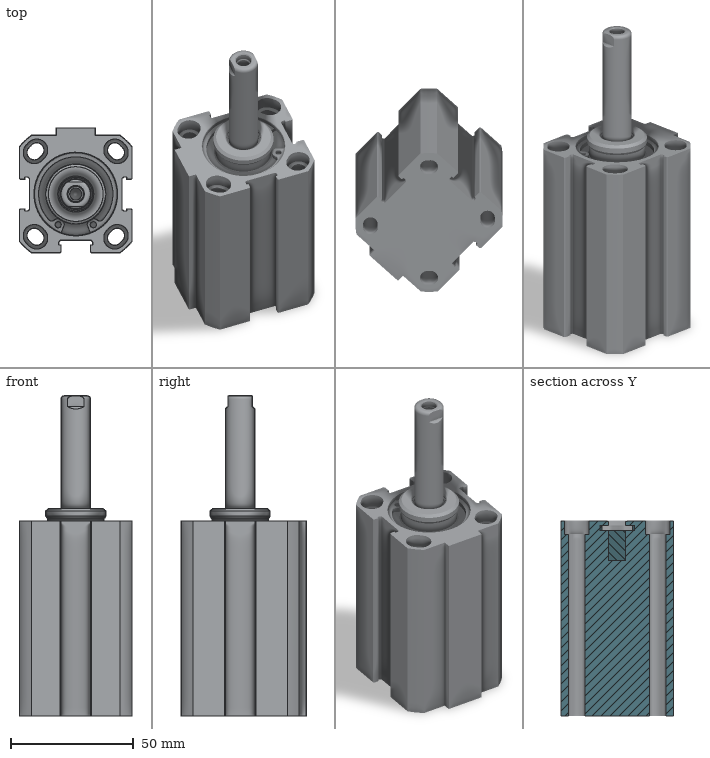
import cadquery as cq
import math


body_width = 46.0
body_depth = 48.0
body_height = 79.5
corner_radius = 30.0
rib_width = 16.0
rib_height = 3.0

slot_mouth_width = 12.0
slot_mouth_bevel = 0.4
slot_wide_width = 13.7
slot_floor_width = 12.8
slot_lip_distance = 20.75
slot_wide_distance = 19.6
slot_floor_distance = 18.9

mount_spacing_x = 32.8
mount_spacing_y = 34.8
mount_hole_width = 5.9
mount_sink_width = 9.0
mount_oval_stretch = 1.4
mount_sink_depth = 5.5

bore_diameter = 33.7
bore_rim_diameter = 34.1
bore_depth = 16.0

ring_outer_diameter = 35.8
ring_inner_diameter = 30.3
ring_thickness = 1.8
ring_depth = 2.0
lug_radius = 2.5
lug_hole_diameter = 2.5
lug_spacing = 14.3
lug_drop = 12.5
ring_gap_half_angle = 20.5
lug_blend_radius = 1.5

neck_diameter = 23.0
collar_diameter = 24.5
collar_top_diameter = 22.3
collar_height = 5.0
collar_top_bevel = 1.0
collar_straight_bottom = 1.9
neck_top = 0.8
neck_foot_bevel = 0.5
wiper_diameter = 13.7
wiper_rim_diameter = 14.7
wiper_depth = 1.0
relief_diameter = 12.54
relief_depth = 2.0

rod_diameter = 12.0
rod_projection = 51.0
rod_end_radius = 1.4
flat_spacing = 10.0
flat_length = 4.4
thread_hole_diameter = 4.92
thread_sink_diameter = 6.25
thread_mouth_diameter = 7.0
thread_sink_depth = 2.7
thread_hole_depth = 12.0
drill_point_angle = 118.0

bore_floor = body_height - bore_depth
ring_top = body_height - ring_depth
ring_bottom = ring_top - ring_thickness
rod_top = body_height + rod_projection
rod_radius = rod_diameter / 2


def cylinder(diameter, bottom, top):
    return cq.Workplane("XY").workplane(offset=bottom).circle(diameter / 2).extrude(top - bottom)


def turned(points):
    """Solid of revolution about Z from (radius, height) points."""
    return cq.Workplane("XZ").polyline(points).close().revolve(360, (0, 0, 0), (0, 1, 0))


def sensor_slot(wall_distance, turn):
    """Undercut slot along Z, open through the -Y wall and then turned about Z."""
    slot_reach = body_depth
    right = [
        (slot_mouth_width / 2 + slot_mouth_bevel, -slot_reach),
        (slot_mouth_width / 2 + slot_mouth_bevel, -wall_distance),
        (slot_mouth_width / 2, slot_mouth_bevel - wall_distance),
        (slot_mouth_width / 2, -slot_lip_distance),
        (slot_wide_width / 2, -slot_lip_distance),
        (slot_wide_width / 2, -slot_wide_distance),
        (slot_floor_width / 2, -slot_floor_distance),
    ]
    left = [(-x, y) for x, y in reversed(right)]
    slot = cq.Workplane("XY").polyline(right + left).close().extrude(body_height)
    return slot.rotate((0, 0, 0), (0, 0, 1), turn)


def mount_oval(x, y, width, bottom):
    """Oval hole from the given height up through the top, its long side facing the rod axis."""
    long_side_angle = -45 if x * y > 0 else 45
    return (
        cq.Workplane("XY")
        .workplane(offset=bottom)
        .center(x, y)
        .slot2D(width + mount_oval_stretch, width, long_side_angle)
        .extrude(body_height - bottom)
    )


def make_housing():
    body = cq.Workplane("XY").rect(body_width, body_depth).extrude(body_height)
    body = body.intersect(cylinder(2 * corner_radius, 0, body_height))

    rib_overlap = 1.0
    rib = (
        cq.Workplane("XY")
        .center(0, body_depth / 2 + (rib_height - rib_overlap) / 2)
        .rect(rib_width, rib_height + rib_overlap)
        .extrude(body_height)
    )
    body = body.union(rib)

    for wall_distance, turn in ((body_depth / 2, 0), (body_width / 2, 90), (body_width / 2, -90)):
        body = body.cut(sensor_slot(wall_distance, turn))

    for x in (-mount_spacing_x / 2, mount_spacing_x / 2):
        for y in (-mount_spacing_y / 2, mount_spacing_y / 2):
            body = body.cut(mount_oval(x, y, mount_hole_width, 0))
            body = body.cut(mount_oval(x, y, mount_sink_width, body_height - mount_sink_depth))

    rim_bevel = (bore_rim_diameter - bore_diameter) / 2
    bore = turned([
        (0, bore_floor),
        (bore_diameter / 2, bore_floor),
        (bore_diameter / 2, body_height - rim_bevel),
        (bore_rim_diameter / 2, body_height),
        (0, body_height),
    ])
    ring_groove = cylinder(ring_outer_diameter, ring_bottom, ring_top)
    return body.cut(bore).cut(ring_groove)


def make_cover():
    outside = turned([
        (0, bore_floor),
        (bore_diameter / 2, bore_floor),
        (bore_diameter / 2, ring_bottom),
        (neck_diameter / 2 + neck_foot_bevel, ring_bottom),
        (neck_diameter / 2, ring_bottom + neck_foot_bevel),
        (neck_diameter / 2, body_height + neck_top),
        (collar_diameter / 2, body_height + collar_straight_bottom),
        (collar_diameter / 2, body_height + collar_height - collar_top_bevel),
        (collar_top_diameter / 2, body_height + collar_height),
        (0, body_height + collar_height),
    ])
    top = body_height + collar_height
    rim_bevel = (wiper_rim_diameter - wiper_diameter) / 2
    rod_passage = turned([
        (0, bore_floor),
        (rod_radius, bore_floor),
        (rod_radius, top - relief_depth),
        (relief_diameter / 2, top - relief_depth),
        (relief_diameter / 2, top - wiper_depth),
        (wiper_diameter / 2, top - wiper_depth),
        (wiper_diameter / 2, top - rim_bevel),
        (wiper_rim_diameter / 2, top),
        (0, top),
    ])
    return outside.cut(rod_passage)


def make_retaining_ring():
    ring = cylinder(ring_outer_diameter, ring_bottom, ring_top)
    ring = ring.cut(cylinder(ring_inner_diameter, ring_bottom, ring_top))

    lug_places = [(-lug_spacing / 2, -lug_drop), (lug_spacing / 2, -lug_drop)]
    plane = cq.Workplane("XY").workplane(offset=ring_bottom)
    lugs = plane.pushPoints(lug_places).circle(lug_radius).extrude(ring_thickness)
    ring = ring.union(lugs)

    gap_reach = ring_outer_diameter
    gap_half_width = gap_reach * math.tan(math.radians(ring_gap_half_angle))
    gap = plane.polyline([(0, 0), (-gap_half_width, -gap_reach), (gap_half_width, -gap_reach)])
    ring = ring.cut(gap.close().extrude(ring_thickness))

    lug_distance = math.hypot(lug_spacing / 2, lug_drop)
    inner_radius = ring_inner_diameter / 2
    corner_cosine = (lug_distance**2 + inner_radius**2 - lug_radius**2) / (2 * lug_distance * inner_radius)
    corner_angle = math.atan2(lug_spacing / 2, lug_drop) + math.acos(corner_cosine)
    corner_x = inner_radius * math.sin(corner_angle)
    corner_y = -inner_radius * math.cos(corner_angle)
    for side in (-1, 1):
        corner = cq.selectors.NearestToPointSelector((side * corner_x, corner_y, ring_top - ring_thickness / 2))
        ring = ring.edges("|Z").edges(corner).fillet(lug_blend_radius)

    holes = plane.pushPoints(lug_places).circle(lug_hole_diameter / 2).extrude(ring_thickness)
    return ring.cut(holes)


def make_rod():
    rod = cylinder(rod_diameter, bore_floor, rod_top).faces(">Z").edges().fillet(rod_end_radius)

    flat_y = flat_spacing / 2
    flat_bottom = rod_top - flat_length
    flat_side = (
        cq.Workplane("YZ")
        .polyline([
            (flat_y, rod_top),
            (flat_y, flat_bottom),
            (rod_diameter, flat_bottom - (rod_diameter - flat_y)),
            (rod_diameter, rod_top),
        ])
        .close()
        .extrude(rod_radius, both=True)
    )
    rod = rod.cut(flat_side).cut(flat_side.mirror("XZ"))

    hole_radius = thread_hole_diameter / 2
    sink_radius = thread_sink_diameter / 2
    mouth_radius = thread_mouth_diameter / 2
    mouth_bevel = mouth_radius - sink_radius
    hole_floor = rod_top - thread_hole_depth
    point_depth = hole_radius / math.tan(math.radians(drill_point_angle / 2))
    thread_hole = turned([
        (0, hole_floor - point_depth),
        (hole_radius, hole_floor),
        (hole_radius, rod_top - thread_sink_depth),
        (sink_radius, rod_top - thread_sink_depth),
        (sink_radius, rod_top - mouth_bevel),
        (mouth_radius, rod_top),
        (0, rod_top),
    ])
    return rod.cut(thread_hole)


housing = make_housing()
cover = make_cover()
retaining_ring = make_retaining_ring()
rod = make_rod()

result = cq.Compound.makeCompound([housing.val(), cover.val(), retaining_ring.val(), rod.val()])